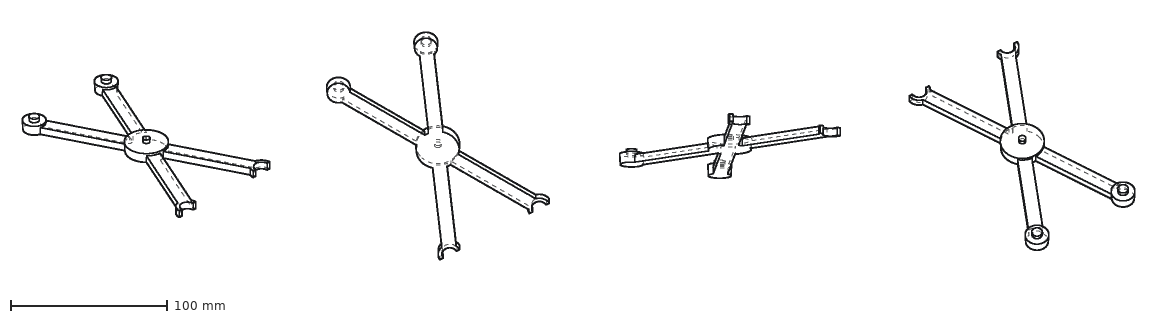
import cadquery as cq
import math

arm_height = 5.2
disc_height = 7.0
total_height = 9.7

arm_angle = 25.3
boss_top_radius = 7.7
length = 147.6
boss_x = -69.0
fork_x = boss_x - boss_top_radius + length
arm_width = 9.3

draft = 3.0
hub_top_radius = 14.2
boss_pin_radius = 3.4
hub_pin_radius = 2.4

fork_outer_radius = 7.5
fork_inner_radius = 5.0


def tapered_disc(x, y, top_radius, bottom_z, top_z):
    """Round disc that narrows by the draft angle from its top downward."""
    disc = cq.Workplane("XY", origin=(x, y, top_z)).circle(top_radius)
    return disc.extrude(bottom_z - top_z, taper=draft)


def disc_with_pin(x, y, disc_radius, pin_radius):
    """Tapered disc standing on the underside, with a tapered pin on top."""
    disc = tapered_disc(x, y, disc_radius, 0, disc_height)
    return disc.union(tapered_disc(x, y, pin_radius, disc_height, total_height))


def arm_with_fork(side):
    """Bar from a boss through the hub to the opposite fork; side is the sign of the fork's Y."""
    slope = side * math.tan(math.radians(arm_angle))
    boss_y = boss_x * slope
    fork_y = fork_x * slope
    bar_length = math.hypot(fork_x - boss_x, fork_y - boss_y)
    bar = (
        cq.Workplane("XY")
        .rect(bar_length, arm_width)
        .extrude(arm_height)
        .rotate((0, 0, 0), (0, 0, 1), side * arm_angle)
        .translate(((boss_x + fork_x) / 2, (boss_y + fork_y) / 2, 0))
    )
    fork_disc = cq.Workplane("XY").center(fork_x, fork_y).circle(fork_outer_radius).extrude(arm_height)
    fork_bore = cq.Workplane("XY").center(fork_x, fork_y).circle(fork_inner_radius).extrude(arm_height)
    beyond_fork = (
        cq.Workplane("XY")
        .center(fork_x + fork_outer_radius, fork_y)
        .rect(2 * fork_outer_radius, 3 * fork_outer_radius)
        .extrude(arm_height)
    )
    arm = bar.union(fork_disc).cut(fork_bore).cut(beyond_fork)
    return arm.union(disc_with_pin(boss_x, boss_y, boss_top_radius, boss_pin_radius))


result = disc_with_pin(0, 0, hub_top_radius, hub_pin_radius)
for side in (-1, 1):
    result = result.union(arm_with_fork(side))